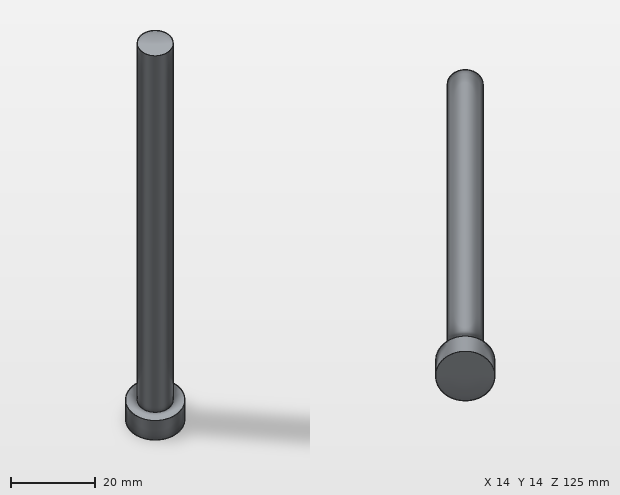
import cadquery as cq

total_length = 125.0
head_diameter = 14.0
head_height = 6.5
shaft_diameter = 8.5

head_bottom = -total_length / 2
head = (
    cq.Workplane("XY")
    .workplane(offset=head_bottom)
    .circle(head_diameter / 2)
    .extrude(head_height)
)

result = (
    head.faces(">Z")
    .workplane()
    .circle(shaft_diameter / 2)
    .extrude(total_length - head_height)
)